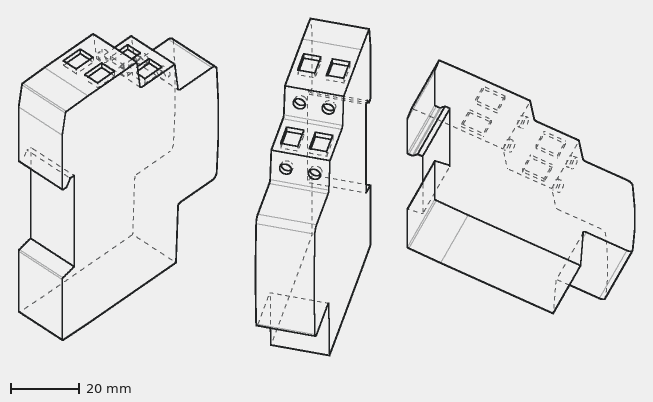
import cadquery as cq
import math

WIDTH = 17.8
DEPTH = 65.9
HEIGHT = 90.0

NOSE_EDGE_Y = 65.0
NOSE_BOTTOM_Z = 22.7
NOSE_TOP_Z = HEIGHT - NOSE_BOTTOM_Z
NOSE_FILLET = 2.1

LOWER_STEP_FOOT_Y = 48.9
LOWER_STEP_TOP_Y = 47.4
LOWER_STEP_Z = 78.75
UPPER_STEP_FOOT_Y = 32.85
UPPER_STEP_TOP_Y = 31.4
BOTTOM_FRONT_Y = 48.0
STEP_FOOT_FILLET = 0.9

TAPER_START_Y = 10.9
TAPER_DROP = 0.3
REAR_TOP_Y = 1.4
REAR_SLOPE_Z = 81.5
REAR_CORNER_FILLET = 0.45

SLOT_DEPTH = 5.0
SLOT_BOTTOM_Z = 26.3
SLOT_TOP_Z = 62.3
HOOK_ROOT_Y = 3.4
HOOK_TIP_Y = 1.8
HOOK_TIP_Z = 59.8
SLOT_LEDGE_Z = 24.8

TERMINAL_X = 4.365
POCKET_WIDTH = 5.2
POCKET_LENGTH = 7.1
POCKET_DEPTH = 1.8
LOWER_POCKET_Y = 40.4
UPPER_POCKET_Y = 20.4
SCREW_DIAMETER = 3.6
SCREW_DEPTH = 1.8
LOWER_SCREW_Z = 72.8
UPPER_SCREW_Z = 84.4


def make_body():
    """Extrude the side outline across the width and round its corners."""
    body = (
        cq.Workplane("YZ")
        .moveTo(BOTTOM_FRONT_Y, 0)
        .lineTo(LOWER_STEP_FOOT_Y, NOSE_BOTTOM_Z)
        .lineTo(NOSE_EDGE_Y, NOSE_BOTTOM_Z)
        .threePointArc((DEPTH, HEIGHT / 2), (NOSE_EDGE_Y, NOSE_TOP_Z))
        .lineTo(LOWER_STEP_FOOT_Y, NOSE_TOP_Z)
        .lineTo(LOWER_STEP_TOP_Y, LOWER_STEP_Z)
        .lineTo(UPPER_STEP_FOOT_Y, LOWER_STEP_Z)
        .lineTo(UPPER_STEP_TOP_Y, HEIGHT)
        .lineTo(TAPER_START_Y, HEIGHT)
        .lineTo(REAR_TOP_Y, HEIGHT - TAPER_DROP)
        .lineTo(0, REAR_SLOPE_Z)
        .lineTo(0, HOOK_TIP_Z)
        .lineTo(HOOK_TIP_Y, HOOK_TIP_Z)
        .lineTo(HOOK_ROOT_Y, SLOT_TOP_Z)
        .lineTo(SLOT_DEPTH, SLOT_TOP_Z)
        .lineTo(SLOT_DEPTH, SLOT_BOTTOM_Z)
        .lineTo(0, SLOT_LEDGE_Z)
        .lineTo(0, TAPER_DROP)
        .lineTo(TAPER_START_Y, 0)
        .close()
        .extrude(WIDTH / 2, both=True)
    )
    corner_groups = [
        (NOSE_FILLET, [(NOSE_EDGE_Y, NOSE_BOTTOM_Z), (NOSE_EDGE_Y, NOSE_TOP_Z)]),
        (STEP_FOOT_FILLET, [
            (LOWER_STEP_FOOT_Y, NOSE_BOTTOM_Z),
            (LOWER_STEP_FOOT_Y, NOSE_TOP_Z),
            (UPPER_STEP_FOOT_Y, LOWER_STEP_Z),
        ]),
        (REAR_CORNER_FILLET, [
            (REAR_TOP_Y, HEIGHT - TAPER_DROP),
            (0, HOOK_TIP_Z),
            (HOOK_TIP_Y, HOOK_TIP_Z),
            (0, SLOT_LEDGE_Z),
            (0, TAPER_DROP),
        ]),
    ]
    for radius, corners in corner_groups:
        for y, z in corners:
            edge = cq.selectors.NearestToPointSelector((0, y, z))
            body = body.edges("|X").edges(edge).fillet(radius)
    return body


def make_pockets(center_y, shoulder_z):
    """Pair of rectangular wire pockets sunk into a shoulder."""
    return (
        cq.Workplane("XY", origin=(0, center_y, shoulder_z - POCKET_DEPTH))
        .pushPoints([(-TERMINAL_X, 0), (TERMINAL_X, 0)])
        .rect(POCKET_WIDTH, POCKET_LENGTH)
        .extrude(POCKET_DEPTH)
    )


def make_screw_holes(foot, top, center_z):
    """Pair of round blind holes square to the leaning riser from foot to top (y, z)."""
    run = foot[0] - top[0]
    rise = top[1] - foot[1]
    center_y = foot[0] - run * (center_z - foot[1]) / rise
    lean = math.atan2(run, rise)
    inward = (0, -math.cos(lean), -math.sin(lean))
    riser = cq.Plane(origin=(0, center_y, center_z), xDir=(1, 0, 0), normal=inward)
    return (
        cq.Workplane(riser)
        .pushPoints([(-TERMINAL_X, 0), (TERMINAL_X, 0)])
        .circle(SCREW_DIAMETER / 2)
        .extrude(SCREW_DEPTH)
    )


lower_riser = ((LOWER_STEP_FOOT_Y, NOSE_TOP_Z), (LOWER_STEP_TOP_Y, LOWER_STEP_Z))
upper_riser = ((UPPER_STEP_FOOT_Y, LOWER_STEP_Z), (UPPER_STEP_TOP_Y, HEIGHT))

result = (
    make_body()
    .cut(make_pockets(LOWER_POCKET_Y, LOWER_STEP_Z))
    .cut(make_pockets(UPPER_POCKET_Y, HEIGHT))
    .cut(make_screw_holes(*lower_riser, LOWER_SCREW_Z))
    .cut(make_screw_holes(*upper_riser, UPPER_SCREW_Z))
)